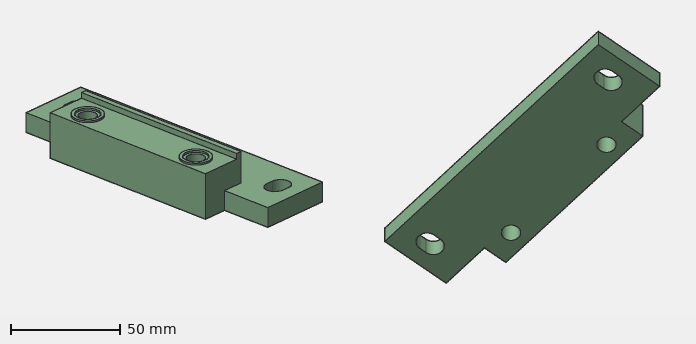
import cadquery as cq

plate_length = 150.0
plate_depth = 37.0
plate_thickness = 10.0

overall_depth = 50.0
overall_height = 26.0
block_length = 96.3
block_depth = 24.0
lip_width = 2.8
lip_height = 2.8

slot_spacing = 125.0
slot_width = 10.0
slot_length = 13.8
slot_from_back = 16.6

hole_spacing = 67.0
hole_from_front = 9.5
hole_diameter = 8.8
ring_outer_diameter = 15.3
ring_inner_diameter = 12.0
ring_height = 0.9

block_top = overall_height - lip_height
hole_centers = [(side * hole_spacing / 2, hole_from_front) for side in (-1, 1)]
slot_centers = [(side * slot_spacing / 2, overall_depth - slot_from_back) for side in (-1, 1)]


def make_plate():
    """Flat plate with two elongated mounting slots."""
    plate = cq.Workplane("XY").box(
        plate_length, plate_depth, plate_thickness, centered=(True, False, False)
    )
    plate = plate.translate((0, overall_depth - plate_depth, 0))
    slots = (
        cq.Workplane("XY")
        .pushPoints(slot_centers)
        .slot2D(slot_length, slot_width, 90)
        .extrude(plate_thickness)
    )
    return plate.cut(slots)


def make_block():
    """Block with a locating lip along its back edge."""
    block = cq.Workplane("XY").box(
        block_length, block_depth, block_top, centered=(True, False, False)
    )
    lip = cq.Workplane("XY").box(
        block_length, lip_width, overall_height, centered=(True, False, False)
    )
    return block.union(lip.translate((0, block_depth - lip_width, 0)))


def make_rings():
    """Low annular seats standing on the block."""
    return (
        cq.Workplane("XY")
        .workplane(offset=block_top)
        .pushPoints(hole_centers)
        .circle(ring_outer_diameter / 2)
        .circle(ring_inner_diameter / 2)
        .extrude(ring_height)
    )


through_holes = (
    cq.Workplane("XY")
    .pushPoints(hole_centers)
    .circle(hole_diameter / 2)
    .extrude(overall_height)
)

result = make_plate().union(make_block()).union(make_rings()).cut(through_holes)